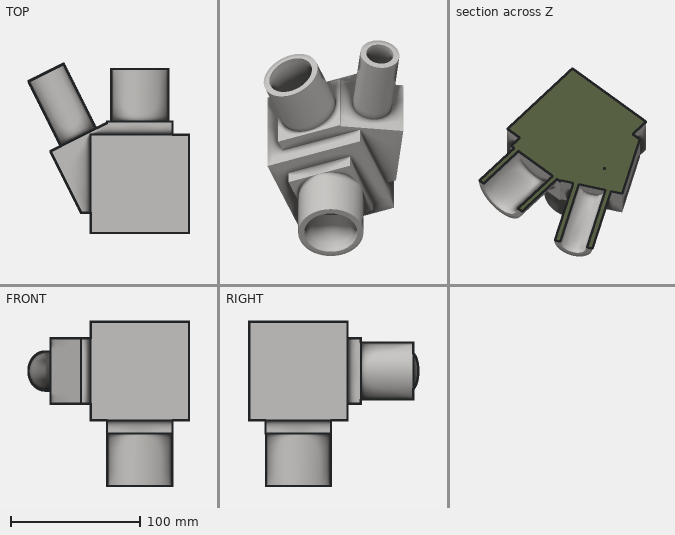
import cadquery as cq
import math

BODY_SIDE = 76.2
MIDDLE = BODY_SIDE / 2

PAD_SIDE = 50.8
PAD_THICKNESS = 10.16
PIPE_LENGTH = 40.64

BACK_PIPE_OUTER = 44.45
BACK_PIPE_BORE = 35.15
BOTTOM_PIPE_OUTER = 50.4
BOTTOM_PIPE_BORE = 41.15
BRANCH_PIPE_OUTER = 30.48
BRANCH_PIPE_BORE = 21.0
BRANCH_PIPE_LENGTH = 55.88

BRANCH_ANGLE = math.radians(26.565)
WEDGE_CORNER_X = -31.1
WEDGE_CORNER_Y = 63.3
WEDGE_FRONT_Y = 15.6
BRANCH_PIPE_OFFSET = 24.2

FACE_DIR = cq.Vector(math.cos(BRANCH_ANGLE), math.sin(BRANCH_ANGLE), 0)
BRANCH_DIR = cq.Vector(-math.sin(BRANCH_ANGLE), math.cos(BRANCH_ANGLE), 0)


def make_body():
    return cq.Workplane("XY").box(BODY_SIDE, BODY_SIDE, BODY_SIDE, centered=False)


def make_pad(center, normal):
    """Square pad standing on a body face."""
    plane = cq.Plane(origin=center, xDir=(1, 0, 0), normal=normal)
    return cq.Workplane(plane).rect(PAD_SIDE, PAD_SIDE).extrude(PAD_THICKNESS)


def make_pipe(base, direction, outer, bore, length):
    """Hollow pipe starting at its base point; the bore ends at the base."""
    plane = cq.Plane(origin=base, normal=direction)
    return cq.Workplane(plane).circle(outer / 2).circle(bore / 2).extrude(length)


def make_wedge():
    """Block whose sloped face runs from the outer corner to the edge of the back pad."""
    pad_edge_x = MIDDLE - PAD_SIDE / 2
    pad_edge_y = WEDGE_CORNER_Y + (pad_edge_x - WEDGE_CORNER_X) * math.tan(BRANCH_ANGLE)
    front_x = WEDGE_CORNER_X + (WEDGE_CORNER_Y - WEDGE_FRONT_Y) * math.tan(BRANCH_ANGLE)
    outline = [
        (WEDGE_CORNER_X, WEDGE_CORNER_Y),
        (pad_edge_x, pad_edge_y),
        (pad_edge_x, WEDGE_FRONT_Y),
        (front_x, WEDGE_FRONT_Y),
    ]
    bottom_z = MIDDLE - PAD_SIDE / 2
    return cq.Workplane("XY").workplane(offset=bottom_z).polyline(outline).close().extrude(PAD_SIDE)


def make_back_port():
    normal = cq.Vector(0, 1, 0)
    pad_center = cq.Vector(MIDDLE, BODY_SIDE, MIDDLE)
    pipe_base = pad_center + normal * PAD_THICKNESS
    pipe = make_pipe(pipe_base, normal, BACK_PIPE_OUTER, BACK_PIPE_BORE, PIPE_LENGTH)
    return make_pad(pad_center, normal).union(pipe)


def make_bottom_port():
    normal = cq.Vector(0, 0, -1)
    pad_center = cq.Vector(MIDDLE, MIDDLE, 0)
    pipe_base = pad_center + normal * PAD_THICKNESS
    pipe = make_pipe(pipe_base, normal, BOTTOM_PIPE_OUTER, BOTTOM_PIPE_BORE, PIPE_LENGTH)
    return make_pad(pad_center, normal).union(pipe)


def make_branch_port():
    wedge_corner = cq.Vector(WEDGE_CORNER_X, WEDGE_CORNER_Y, MIDDLE)
    pipe_base = wedge_corner + FACE_DIR * BRANCH_PIPE_OFFSET
    pipe = make_pipe(pipe_base, BRANCH_DIR, BRANCH_PIPE_OUTER, BRANCH_PIPE_BORE, BRANCH_PIPE_LENGTH)
    return make_wedge().union(pipe)


result = make_body().union(make_back_port()).union(make_bottom_port()).union(make_branch_port())